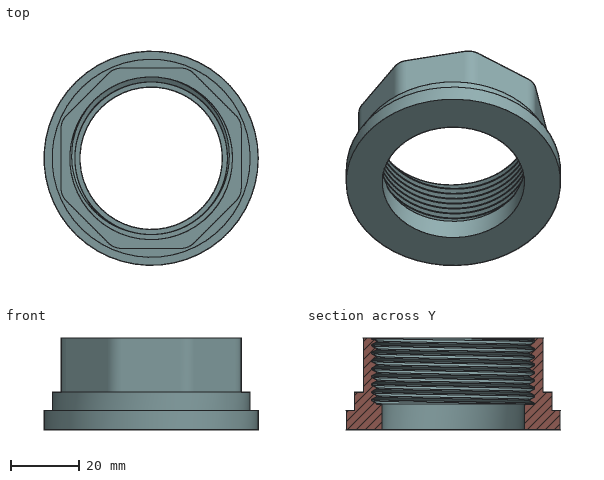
import cadquery as cq
import math

total_height = 27.0

flange_diameter = 63
flange_height = 5.7
collar_diameter = 58.2
collar_height = 5.35

across_flats = 53.0
corner_radius = 5.35
octagon_sides = 8

bore_diameter = 41.8
thread_minor_diameter = 44.85
thread_major_diameter = 47.8
ledge_height = 7.55
thread_top_gap = 0.4
thread_pitch = 2.3
first_crest_height = 6.4
thread_turns = 9.8
flank_angle = 27.5
crest_width = thread_pitch / 6
root_overlap = 0.1


def cylinder(diameter, bottom, top):
    """Solid cylinder on the Z axis between two heights."""
    return cq.Workplane("XY").workplane(offset=bottom).circle(diameter / 2).extrude(top - bottom)


def octagon_grip(bottom, top):
    """Octagonal prism with rounded corners and flats square to X and Y."""
    across_corners = across_flats / math.cos(math.pi / octagon_sides)
    prism = (
        cq.Workplane("XY")
        .workplane(offset=bottom)
        .transformed(rotate=(0, 0, 180 / octagon_sides))
        .polygon(octagon_sides, across_corners)
        .extrude(top - bottom)
    )
    return prism.edges("|Z").fillet(corner_radius)


def thread_ridge():
    """Helical trapezoidal ridge that rises from the major to the minor diameter."""
    minor_radius = thread_minor_diameter / 2
    root_radius = thread_major_diameter / 2 + root_overlap
    half_crest = crest_width / 2
    half_root = half_crest + (root_radius - minor_radius) * math.tan(math.radians(flank_angle))
    helix = cq.Wire.makeHelix(thread_pitch, thread_pitch * thread_turns, minor_radius)
    ridge = (
        cq.Workplane("XZ")
        .polyline([
            (minor_radius, -half_crest),
            (minor_radius, half_crest),
            (root_radius, half_root),
            (root_radius, -half_root),
        ])
        .close()
        .sweep(cq.Workplane(obj=helix), isFrenet=True)
    )
    return ridge.translate((0, 0, first_crest_height))


collar_top = flange_height + collar_height
body = (
    cylinder(flange_diameter, 0, flange_height)
    .union(cylinder(collar_diameter, flange_height, collar_top))
    .union(octagon_grip(collar_top, total_height))
    .cut(cylinder(bore_diameter, 0, total_height))
    .cut(cylinder(thread_major_diameter, ledge_height, total_height))
)

thread_top = total_height - thread_top_gap
trimmed_ridge = thread_ridge().intersect(cylinder(flange_diameter, ledge_height, thread_top))
result = body.union(trimmed_ridge)